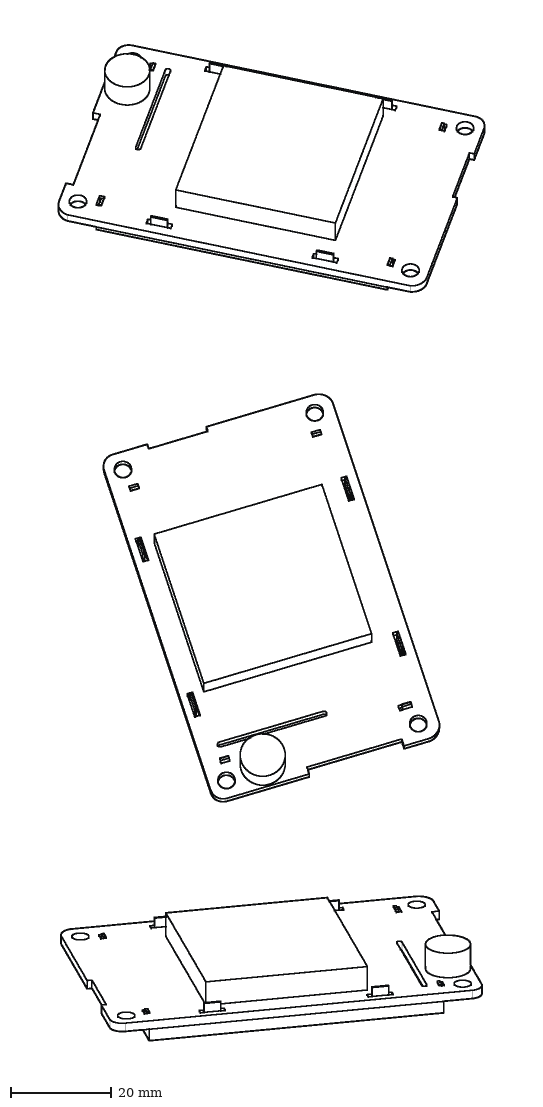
import cadquery as cq

BOARD_LENGTH = 76.2
BOARD_WIDTH = 47.8
BOARD_THICKNESS = 1.8
CORNER_RADIUS = 2.6

FRONT_CORNER_RADIUS = 3.1
FRONT_CORNER_HEIGHT = 3.1

DISPLAY_CENTER_Y = 0.2
DISPLAY_LENGTH = 60.35
DISPLAY_WIDTH = 43.7
DISPLAY_THICKNESS = 3.35

HOLE_DIAMETER = 3.4
HOLE_SPACING_X = 68.9
HOLE_SPACING_Y = 40.1

LEFT_NOTCH_DEPTH = 1.5
LEFT_NOTCH_Y = (-15.7, 4.1)
RIGHT_NOTCH_DEPTH = 1.0
RIGHT_NOTCH_Y = (1.7, 14.0)

SLOT_X = -26.8
SLOT_WIDTH = 1.1
SLOT_Y = (-3.05, 19.7)

BUZZER_X = -33.3
BUZZER_Y = 12.35
BUZZER_RADIUS = 4.5
BUZZER_HEIGHT = 5.3

BLOCK_X = (-15.25, 17.8)
BLOCK_Y = (-16.1, 19.0)
BLOCK_HEIGHT = 5.1

TAB_SPACING_X = 34.4
TAB_LENGTH = 3.4
TAB_THICKNESS = 0.4
TAB_HEIGHT = 1.8
TAB_WINDOW_LENGTH = 5.1
TAB_WINDOW_WIDTH = 1.15
TAB_WINDOW_OVERHANG = 0.2

CLIP_THICKNESS = 0.5
CLIP_HEIGHT = 0.2
CLIP_LENGTH = 1.8
CLIP_SPACING_Y = 38.1
CLIP_WINDOW_WIDTH = 1.1
LONG_WINDOW_EXTENSION = 0.8


def box_between(x_range, y_range, z_range):
    """Box spanning the given (low, high) ranges along each axis."""
    sizes = [high - low for low, high in (x_range, y_range, z_range)]
    return (
        cq.Workplane("XY")
        .box(*sizes, centered=False)
        .translate((x_range[0], y_range[0], z_range[0]))
    )


def span(side, outer, thickness):
    """Sorted range reaching inward by thickness from a distance outer on side +1 or -1."""
    return tuple(sorted((side * outer, side * (outer - thickness))))


def shifted(value_range, offset):
    """Range moved by offset."""
    return tuple(value + offset for value in value_range)


THROUGH_BOARD = (0.0, BOARD_THICKNESS)


def make_board():
    """Rounded board with mounting holes, edge notches and the narrow slot."""
    half_length = BOARD_LENGTH / 2
    half_width = BOARD_WIDTH / 2
    corner_x = half_length - CORNER_RADIUS
    rear_corner_y = half_width - CORNER_RADIUS
    front_corner_y = FRONT_CORNER_HEIGHT - half_width
    board = (
        cq.Workplane("XY")
        .moveTo(-half_length, rear_corner_y)
        .radiusArc((-corner_x, half_width), CORNER_RADIUS)
        .lineTo(corner_x, half_width)
        .radiusArc((half_length, rear_corner_y), CORNER_RADIUS)
        .lineTo(half_length, front_corner_y)
        .radiusArc((corner_x, -half_width), FRONT_CORNER_RADIUS)
        .lineTo(-corner_x, -half_width)
        .radiusArc((-half_length, front_corner_y), FRONT_CORNER_RADIUS)
        .close()
        .extrude(BOARD_THICKNESS)
    )
    holes = (
        cq.Workplane("XY")
        .center(0, DISPLAY_CENTER_Y)
        .rect(HOLE_SPACING_X, HOLE_SPACING_Y, forConstruction=True)
        .vertices()
        .circle(HOLE_DIAMETER / 2)
        .extrude(BOARD_THICKNESS)
    )
    left_notch = box_between(span(-1, BOARD_LENGTH / 2, LEFT_NOTCH_DEPTH), LEFT_NOTCH_Y, THROUGH_BOARD)
    right_notch = box_between(span(1, BOARD_LENGTH / 2, RIGHT_NOTCH_DEPTH), RIGHT_NOTCH_Y, THROUGH_BOARD)
    slot = (
        cq.Workplane("XY")
        .center(SLOT_X, sum(SLOT_Y) / 2)
        .slot2D(SLOT_Y[1] - SLOT_Y[0], SLOT_WIDTH, 90)
        .extrude(BOARD_THICKNESS)
    )
    return board.cut(holes).cut(left_notch).cut(right_notch).cut(slot)


def add_tabs(body):
    """Cut the four tab windows along the long sides and stand a display tab in each."""
    for side_x in (-1, 1):
        center_x = side_x * TAB_SPACING_X / 2
        window_x = shifted((-TAB_WINDOW_LENGTH / 2, TAB_WINDOW_LENGTH / 2), center_x)
        tab_x = shifted((-TAB_LENGTH / 2, TAB_LENGTH / 2), center_x)
        for side_y in (-1, 1):
            window_y = span(side_y, DISPLAY_WIDTH / 2 + TAB_WINDOW_OVERHANG, TAB_WINDOW_WIDTH)
            tab_y = span(side_y, DISPLAY_WIDTH / 2, TAB_THICKNESS)
            window = box_between(window_x, shifted(window_y, DISPLAY_CENTER_Y), THROUGH_BOARD)
            tab_z = (0.0, BOARD_THICKNESS + TAB_HEIGHT)
            tab = box_between(tab_x, shifted(tab_y, DISPLAY_CENTER_Y), tab_z)
            body = body.cut(window).union(tab)
    return body


def add_clips(body):
    """Cut the four clip windows near the short sides and fill their inner halves with clips."""
    for side_x in (-1, 1):
        clip_x = span(side_x, DISPLAY_LENGTH / 2, CLIP_THICKNESS)
        window_outer = DISPLAY_LENGTH / 2 - CLIP_THICKNESS + CLIP_WINDOW_WIDTH
        window_x = span(side_x, window_outer, CLIP_WINDOW_WIDTH)
        for side_y in (-1, 1):
            center_y = DISPLAY_CENTER_Y + side_y * CLIP_SPACING_Y / 2
            clip_y = shifted((-CLIP_LENGTH / 2, CLIP_LENGTH / 2), center_y)
            is_long = side_x < 0 and side_y < 0
            window_y = (clip_y[0], clip_y[1] + (LONG_WINDOW_EXTENSION if is_long else 0.0))
            window = box_between(window_x, window_y, THROUGH_BOARD)
            clip = box_between(clip_x, clip_y, (0.0, BOARD_THICKNESS + CLIP_HEIGHT))
            body = body.cut(window).union(clip)
    return body


display = (
    cq.Workplane("XY")
    .center(0, DISPLAY_CENTER_Y)
    .rect(DISPLAY_LENGTH, DISPLAY_WIDTH)
    .extrude(-DISPLAY_THICKNESS)
)
buzzer = (
    cq.Workplane("XY", origin=(BUZZER_X, BUZZER_Y, BOARD_THICKNESS))
    .circle(BUZZER_RADIUS)
    .extrude(BUZZER_HEIGHT)
)
block = box_between(BLOCK_X, BLOCK_Y, (BOARD_THICKNESS, BOARD_THICKNESS + BLOCK_HEIGHT))

result = add_clips(add_tabs(make_board().union(display)))
result = result.union(buzzer).union(block)